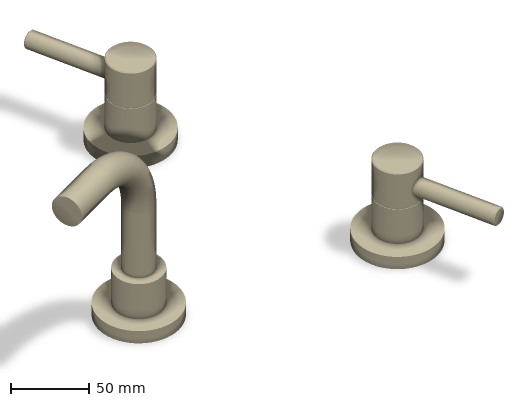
import cadquery as cq

handle_spacing = 200.0
handle_setback = 152.5
overall_length = 352.7

flange_diameter = 60.3
flange_height = 10.0

stem_top = 38.0
cap_top = 66.5
handle_diameter = 33.0
cap_chamfer = 0.7
groove_width = 1.0
groove_depth = 0.5
lever_diameter = 13.0
lever_axis_height = 50.0
lever_chamfer = 0.7

collar_diameter = 35.3
collar_top = 38.0
tube_diameter = 22.5
spout_height = 152.5
bend_radius = 50.8
spout_reach = 87.5

lever_length = (overall_length - handle_spacing) / 2
spout_axis_height = spout_height - tube_diameter / 2
bend_start = spout_axis_height - bend_radius


def cylinder(diameter, bottom, top):
    """Upright cylinder on the Z axis."""
    return cq.Workplane("XY").workplane(offset=bottom).circle(diameter / 2).extrude(top - bottom)


def make_lever():
    """Horizontal rod from the handle axis toward +X, chamfered at its free end."""
    return (
        cq.Workplane("YZ")
        .center(0, lever_axis_height)
        .circle(lever_diameter / 2)
        .extrude(lever_length)
        .faces(">X")
        .chamfer(lever_chamfer)
    )


def make_groove():
    """Thin ring marking the joint between the stem and the cap."""
    bottom = stem_top - groove_width / 2
    top = stem_top + groove_width / 2
    outer = cylinder(handle_diameter, bottom, top)
    return outer.cut(cylinder(handle_diameter - 2 * groove_depth, bottom, top))


def make_handle():
    """Handle on the Z axis with its lever toward +X."""
    flange = cylinder(flange_diameter, 0, flange_height)
    barrel = cylinder(handle_diameter, flange_height, cap_top).faces(">Z").chamfer(cap_chamfer)
    return flange.union(barrel).cut(make_groove()).union(make_lever())


def make_spout():
    """Flange and collar carrying a tube that bends from +Z to -Y."""
    flange = cylinder(flange_diameter, 0, flange_height)
    collar = cylinder(collar_diameter, flange_height, collar_top)
    riser = cylinder(tube_diameter, collar_top, bend_start)
    bend = (
        cq.Workplane("XY")
        .workplane(offset=bend_start)
        .circle(tube_diameter / 2)
        .revolve(90, (0, -bend_radius, 0), (1, -bend_radius, 0))
    )
    outlet = (
        cq.Workplane("XZ", origin=(0, -bend_radius, 0))
        .center(0, spout_axis_height)
        .circle(tube_diameter / 2)
        .extrude(spout_reach - bend_radius)
    )
    return flange.union(collar).union(riser).union(bend).union(outlet)


spout = make_spout()

handles = []
for side, lever_angle in ((-1, 180), (1, 0)):
    handle = make_handle().rotate((0, 0, 0), (0, 0, 1), lever_angle)
    handles.append(handle.translate((side * handle_spacing / 2, handle_setback, 0)))

result = cq.Compound.makeCompound([spout.val(), *[handle.val() for handle in handles]])